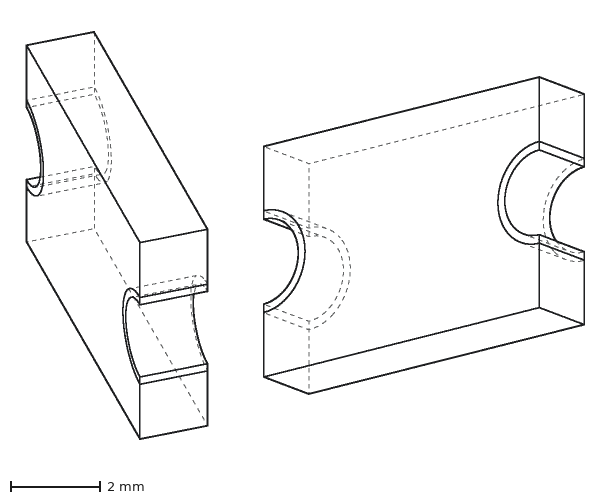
import cadquery as cq

length = 7.98
thickness = 1.6
height = 5.44

end_positions = (-length / 2, length / 2)

bore_radius = 1.0
lining_wall = 0.2
notch_radius = bore_radius + lining_wall


def cylinder_through_y(radius, x):
    """Cylinder along Y, as long as the block is thick, centred at the given x."""
    return (
        cq.Workplane("XZ")
        .center(x, 0)
        .circle(radius)
        .extrude(thickness / 2, both=True)
    )


def plain_block():
    return cq.Workplane("XY").box(length, thickness, height)


def make_body():
    """Block with a half-round notch in the middle of each end."""
    body = plain_block()
    for x in end_positions:
        body = body.cut(cylinder_through_y(notch_radius, x))
    return body


def make_lining(x):
    """Half-ring that fills the wall of one notch, flush with the end of the block."""
    ring = cylinder_through_y(notch_radius, x).cut(cylinder_through_y(bore_radius, x))
    return ring.intersect(plain_block())


body = make_body()
linings = [make_lining(x) for x in end_positions]

result = cq.Compound.makeCompound([
    body.solids().val(),
    *[lining.solids().val() for lining in linings],
])